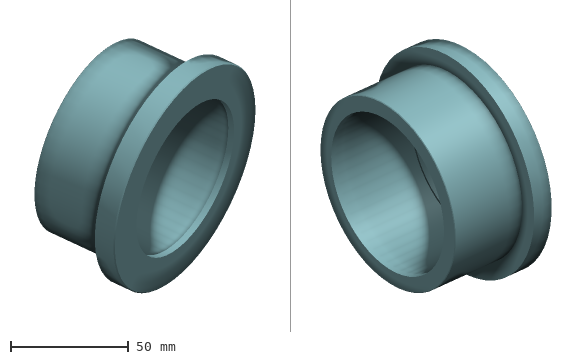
import cadquery as cq

length = 47.0
flange_diameter = 106.0
flange_thickness = 10.1
sleeve_diameter = 90.0
bore_diameter = 75.0
lip_diameter = 73.0
lip_length = 3.0
flange_chamfer = 0.48
sleeve_chamfer = 0.3


def cylinder(diameter, start, end):
    """Solid cylinder on the X axis between two X positions."""
    return cq.Workplane("YZ", origin=(start, 0, 0)).circle(diameter / 2).extrude(end - start)


sleeve = cylinder(sleeve_diameter, 0, length).faces("<X").edges().chamfer(sleeve_chamfer)
flange = cylinder(flange_diameter, length - flange_thickness, length)
flange = flange.faces(">X").edges().chamfer(flange_chamfer)

bore = cylinder(bore_diameter, 0, length - lip_length)
lip_opening = cylinder(lip_diameter, 0, length)

result = sleeve.union(flange).cut(bore).cut(lip_opening)